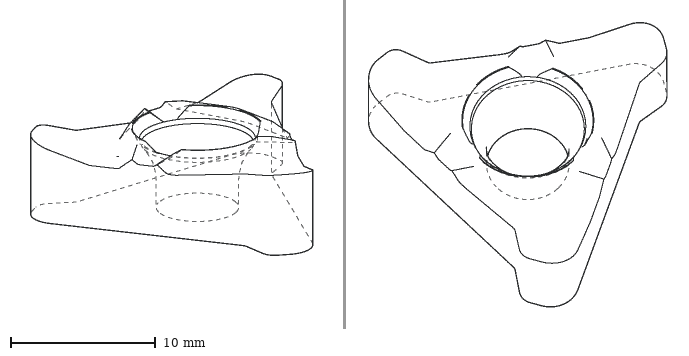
import cadquery as cq
import math

CORNERS = 3
HEIGHT = 5.91

SIDE_DISTANCE = 6.35
TIP_DISTANCE = 10.6
NOTCH_OFFSET = 5.58
FLANK_ANGLE = 27.0
NOSE_RADIUS = 2.0
TIP_RADIUS = 1.07
NOTCH_RADIUS = 0.41

FLOOR_Z = 4.6
RAMP_ANGLE = 15.0
CREASE_RADIUS = 0.52

ISLAND_Z = 5.87
ISLAND_FOOT = 5.45
ISLAND_RIM = 4.7
FOOT_BEND_X = -1.12
RIM_BEND_X = -1.3
FOOT_SLANT = 19.2
RIM_SLANT = 28.4
FOOT_BEND_RADIUS = 4.13
RIM_BEND_RADIUS = 2.48
FOOT_FILLET = 0.25
RIM_FILLET = 0.06

SLOT_ANGLE = 165.0
SLOT_FLOOR_Z = 5.08
SLOT_FLOOR_LEFT = 0.65
SLOT_FLOOR_RIGHT = 0.52
SLOT_TOP_WIDTH = 3.05
SLOT_FILLET = 0.25

BORE_DIAMETER = 5.7
SEAT_BOTTOM_Z = 2.03
SEAT_TOP_Z = 4.73
SEAT_TOP_RADIUS = 3.9
LEDGE_Z = 5.08
LEDGE_INNER_RADIUS = 4.0
LEDGE_OUTER_RADIUS = 4.18
MOUTH_RADIUS = 4.53
LEDGE_FILLET = 0.23

STEP = 360.0 / CORNERS
OVERSIZE = 2 * TIP_DISTANCE
TOLERANCE = 0.0002


def turned(point, degrees):
    """Rotate a plan point about the part axis."""
    angle = math.radians(degrees)
    x, y = point
    return (
        x * math.cos(angle) - y * math.sin(angle),
        x * math.sin(angle) + y * math.cos(angle),
    )


def around_axis(solid):
    """Three copies of a solid, equally spaced about the part axis."""
    return [solid.rotate((0, 0, 0), (0, 0, 1), i * STEP) for i in range(CORNERS)]


def edges_at_height(body, z):
    """Edges of a body whose middle lies at the given height."""
    return [edge for edge in body.edges().vals() if abs(edge.Center().z - z) < TOLERANCE]


def make_outline():
    """Prism of the full plan shape: three hooked corners, all edges rounded."""
    notch = turned((-SIDE_DISTANCE, -NOTCH_OFFSET), -STEP)
    flank_run = (TIP_DISTANCE - notch[1]) * math.tan(math.radians(FLANK_ANGLE))
    tip_end = (notch[0] - flank_run, TIP_DISTANCE)
    nose = (-SIDE_DISTANCE, TIP_DISTANCE)
    corner = [notch, tip_end, nose]
    points = [turned(p, i * STEP) for i in range(CORNERS) for p in corner]
    prism = cq.Workplane("XY").polyline(points).close().extrude(HEIGHT)
    for point, radius in zip(corner, (NOTCH_RADIUS, TIP_RADIUS, NOSE_RADIUS)):
        for i in range(CORNERS):
            x, y = turned(point, i * STEP)
            spot = cq.selectors.NearestToPointSelector((x, y, HEIGHT / 2))
            prism = prism.edges("|Z").edges(spot).fillet(radius)
    return prism


def make_ramp():
    """Wedge rising from the floor to the tip of the +Y corner."""
    slope = math.radians(RAMP_ANGLE)
    crease = TIP_DISTANCE - (HEIGHT - FLOOR_Z) / math.tan(slope)
    tangent = CREASE_RADIUS * math.tan(slope / 2)
    arc_start = (crease - tangent, FLOOR_Z)
    arc_middle = (
        arc_start[0] + CREASE_RADIUS * math.sin(slope / 2),
        FLOOR_Z + CREASE_RADIUS * (1 - math.cos(slope / 2)),
    )
    arc_end = (crease + tangent * math.cos(slope), FLOOR_Z + tangent * math.sin(slope))
    return (
        cq.Workplane("YZ", origin=(-OVERSIZE / 2, 0, 0))
        .moveTo(*arc_start)
        .threePointArc(arc_middle, arc_end)
        .lineTo(TIP_DISTANCE, HEIGHT)
        .lineTo(TIP_DISTANCE, 0)
        .lineTo(arc_start[0], 0)
        .close()
        .extrude(OVERSIZE)
    )


def island_section(z, wall_distance, bend_x, slant, bend_radius):
    """Closed wire of alternating straight and slanted walls, with rounded bends."""
    angle = math.radians(slant)
    along = (-math.cos(angle), -math.sin(angle))
    normal = turned((0, 1), STEP)
    gap = wall_distance - (bend_x * normal[0] + wall_distance * normal[1])
    length = gap / (along[0] * normal[0] + along[1] * normal[1])
    end = (bend_x + length * along[0], wall_distance + length * along[1])
    tangent = bend_radius * math.tan(angle / 2)
    arc_start = (bend_x + tangent, wall_distance)
    arc_middle = (
        arc_start[0] - bend_radius * math.sin(angle / 2),
        wall_distance - bend_radius * (1 - math.cos(angle / 2)),
    )
    arc_end = (bend_x + tangent * along[0], wall_distance + tangent * along[1])

    section = cq.Workplane("XY", origin=(0, 0, z)).moveTo(*turned(end, -STEP))
    for i in range(CORNERS):
        section = section.lineTo(*turned(arc_start, i * STEP))
        section = section.threePointArc(turned(arc_middle, i * STEP), turned(arc_end, i * STEP))
        if i < CORNERS - 1:
            section = section.lineTo(*turned(end, i * STEP))
    return section.close().val()


def make_island():
    """Floor slab carrying the raised island, filleted at its foot."""
    foot = island_section(FLOOR_Z, ISLAND_FOOT, FOOT_BEND_X, FOOT_SLANT, FOOT_BEND_RADIUS)
    rim = island_section(ISLAND_Z, ISLAND_RIM, RIM_BEND_X, RIM_SLANT, RIM_BEND_RADIUS)
    island = cq.Workplane("XY").add(cq.Solid.makeLoft([foot, rim], True))
    slab = cq.Workplane("XY").circle(OVERSIZE).extrude(FLOOR_Z)
    body = slab.union(island).intersect(make_outline())
    foot_edges = [
        edge
        for edge in edges_at_height(body, FLOOR_Z)
        if math.hypot(edge.Center().x, edge.Center().y) < SIDE_DISTANCE
    ]
    return body.newObject(foot_edges).fillet(FOOT_FILLET)


def make_slot():
    """Tapered radial groove with a flat, round-edged floor."""
    rise = ISLAND_Z - SLOT_FLOOR_Z
    top_z = ISLAND_Z + rise
    section = [
        (-SLOT_FLOOR_RIGHT, SLOT_FLOOR_Z),
        (SLOT_FLOOR_LEFT, SLOT_FLOOR_Z),
        (SLOT_TOP_WIDTH - SLOT_FLOOR_LEFT, top_z),
        (SLOT_FLOOR_RIGHT - SLOT_TOP_WIDTH, top_z),
    ]
    slot = cq.Workplane("YZ").polyline(section).close().extrude(OVERSIZE)
    slot = slot.faces("<Z").edges("|X").fillet(SLOT_FILLET)
    return slot.rotate((0, 0, 0), (0, 0, 1), SLOT_ANGLE)


def make_bore():
    """Through bore, flared seat, ledge and conical mouth in one revolve."""
    bore_radius = BORE_DIAMETER / 2
    flare = SEAT_TOP_RADIUS - bore_radius
    seat_height = SEAT_TOP_Z - SEAT_BOTTOM_Z
    seat_radius = (flare**2 + seat_height**2) / (2 * flare)
    half_sweep = math.asin(seat_height / seat_radius) / 2
    seat_middle = (
        bore_radius + seat_radius * (1 - math.cos(half_sweep)),
        SEAT_BOTTOM_Z + seat_radius * math.sin(half_sweep),
    )
    bore = (
        cq.Workplane("XZ")
        .lineTo(bore_radius, 0)
        .lineTo(bore_radius, SEAT_BOTTOM_Z)
        .threePointArc(seat_middle, (SEAT_TOP_RADIUS, SEAT_TOP_Z))
        .lineTo(LEDGE_INNER_RADIUS, LEDGE_Z)
        .lineTo(LEDGE_OUTER_RADIUS, LEDGE_Z)
        .lineTo(MOUTH_RADIUS, ISLAND_Z)
        .lineTo(0, ISLAND_Z)
        .close()
        .revolve(360, (0, 0, 0), (0, 1, 0))
    )
    ledge_edges = bore.newObject(edges_at_height(bore, LEDGE_Z))
    ledge_corner = ledge_edges.edges(cq.selectors.RadiusNthSelector(-1)).vals()
    return bore.newObject(ledge_corner).fillet(LEDGE_FILLET)


def make_insert():
    """Island body with slots and bore, its top edges rounded, plus the corner ramps."""
    body = make_island()
    for slot in around_axis(make_slot()):
        body = body.cut(slot)
    body = body.cut(make_bore())
    body = body.newObject(edges_at_height(body, ISLAND_Z)).fillet(RIM_FILLET)
    for ramp in around_axis(make_ramp().intersect(make_outline())):
        body = body.union(ramp)
    return body


result = make_insert()